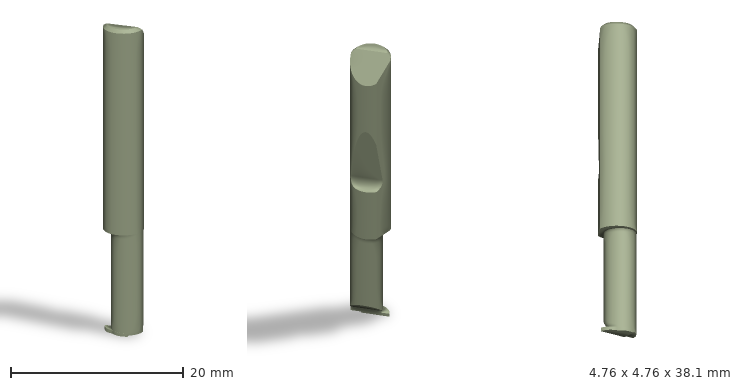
import cadquery as cq
import math

total_length = 38.1
shank_radius = 2.38
shank_bottom = 12.7
top_chamfer = 0.4

flat_distance = 2.05
flat_direction = 150.0

bevel_start_y = -0.57

notch_top = 28.4
notch_bottom = 19.6
notch_floor_y = 0.95
notch_corner_radius = 1.0

neck_radius = 1.9
neck_x = shank_radius - neck_radius
neck_bottom = 0.15
neck_bevel_top = 2.55
neck_bevel_bottom = 0.7

tip_x = -2.3
tip_thickness = 0.42
tip_flank_middle = (-1.85, -0.88)
tip_flank_end = (-0.88, -1.37)
tip_front_middle = (0.1, -1.9)
tip_end_angle = 290.0
relief_height = 0.35
relief_depth = 0.2


def extrude_along_x(outline):
    """Turn a closed YZ outline into a cutter spanning the bar."""
    return outline.extrude(shank_radius * 2, both=True)


def make_shank():
    shank = (
        cq.Workplane("XY", origin=(0, 0, shank_bottom))
        .circle(shank_radius)
        .extrude(total_length - shank_bottom)
        .faces(">Z")
        .chamfer(top_chamfer)
    )
    flat_cutter = (
        cq.Workplane("XY")
        .box(shank_radius, shank_radius * 2, total_length, centered=(False, True, False))
        .translate((flat_distance, 0, 0))
        .rotate((0, 0, 0), (0, 0, 1), flat_direction)
    )
    bevel_run = 2 * shank_radius - bevel_start_y
    bevel = cq.Workplane("YZ").polyline([
        (bevel_start_y, total_length),
        (bevel_start_y + bevel_run, total_length),
        (bevel_start_y + bevel_run, total_length - bevel_run),
    ]).close()
    return shank.cut(flat_cutter).cut(extrude_along_x(bevel)).cut(make_notch())


def make_notch():
    outside_y = 2 * shank_radius
    outline = cq.Workplane("YZ").polyline([
        (shank_radius, notch_top),
        (notch_floor_y, notch_bottom),
        (outside_y, notch_bottom),
        (outside_y, notch_top),
    ]).close()
    floor_corner = cq.selectors.NearestToPointSelector((0, notch_floor_y, notch_bottom))
    return extrude_along_x(outline).edges(floor_corner).fillet(notch_corner_radius)


def make_neck():
    neck = (
        cq.Workplane("XY", origin=(neck_x, 0, neck_bottom))
        .circle(neck_radius)
        .extrude(shank_bottom - neck_bottom)
    )
    rake_cut = cq.Workplane("YZ").polyline([
        (0, 0),
        (0, neck_bevel_bottom),
        (neck_radius, neck_bevel_top),
        (shank_radius, neck_bevel_top),
        (shank_radius, 0),
    ]).close()
    neck_left = neck_x - neck_radius
    relief = (
        cq.Workplane("XZ")
        .polyline([
            (neck_left, tip_thickness + relief_height),
            (neck_left + relief_depth, tip_thickness),
            (neck_left, tip_thickness),
        ])
        .close()
        .extrude(neck_radius)
    )
    return neck.cut(extrude_along_x(rake_cut)).cut(relief)


def make_tip():
    end_turn = math.radians(tip_end_angle)
    end_x = neck_x + neck_radius * math.cos(end_turn)
    end_y = neck_radius * math.sin(end_turn)
    return (
        cq.Workplane("XY")
        .moveTo(tip_x, 0)
        .threePointArc(tip_flank_middle, tip_flank_end)
        .threePointArc(tip_front_middle, (end_x, end_y))
        .lineTo(end_x, 0)
        .close()
        .extrude(tip_thickness)
    )


result = make_shank().union(make_neck()).union(make_tip())